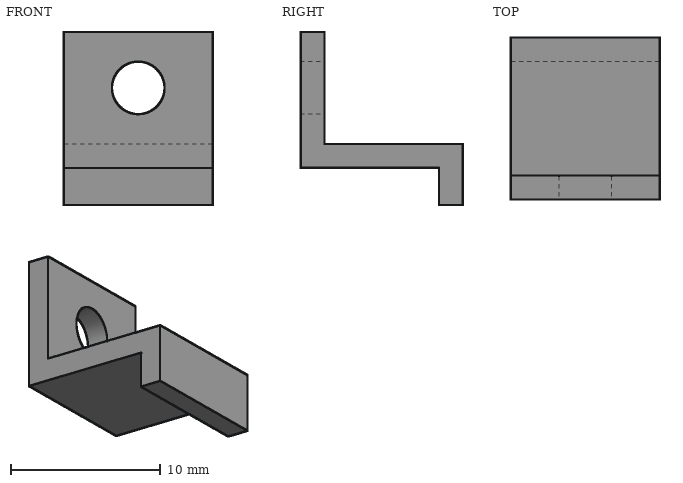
import cadquery as cq

width = 10.0
depth = 10.85
height = 11.6
thickness = 1.6
lower_drop = 2.49
hole_diameter = 3.5

web_top = lower_drop + thickness
hole_height = (web_top + height) / 2


def z_bracket():
    """Z profile in the YZ plane, extruded evenly about X = 0."""
    profile = [
        (0, lower_drop),
        (depth - thickness, lower_drop),
        (depth - thickness, 0),
        (depth, 0),
        (depth, web_top),
        (thickness, web_top),
        (thickness, height),
        (0, height),
    ]
    return cq.Workplane("YZ").polyline(profile).close().extrude(width / 2, both=True)


def flange_hole():
    """Cylinder that passes through the front flange only."""
    return (
        cq.Workplane("XZ")
        .center(0, hole_height)
        .circle(hole_diameter / 2)
        .extrude(-thickness)
    )


result = z_bracket().cut(flange_hole())